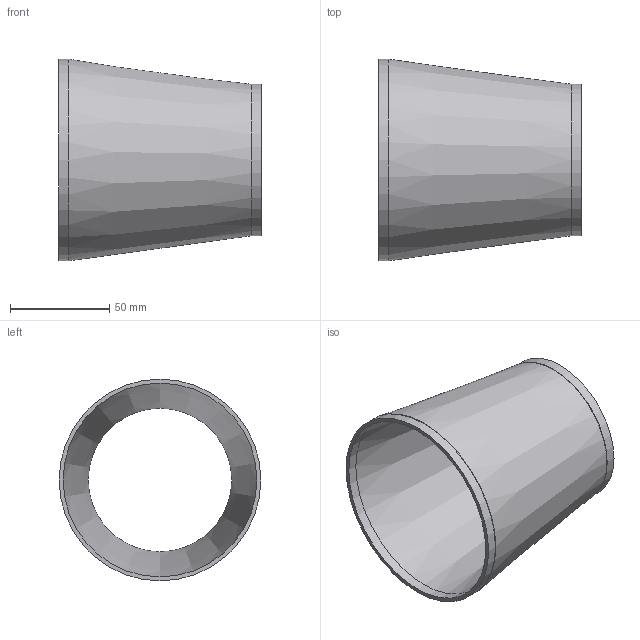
import cadquery as cq
import math

total_length = 102.0
collar_length = 5.0
large_outer_diameter = 101.6
small_outer_diameter = 76.3
wall_thickness = 2.0
blend_radius = 2.0

large_outer_radius = large_outer_diameter / 2
small_outer_radius = small_outer_diameter / 2
large_bore_radius = large_outer_radius - wall_thickness
small_bore_radius = small_outer_radius - wall_thickness

cone_start = collar_length
cone_end = total_length - collar_length
cone_angle = math.atan2(large_outer_radius - small_outer_radius, cone_end - cone_start)

blend_reach = blend_radius * math.tan(cone_angle / 2)
blend_reach_x = blend_reach * math.cos(cone_angle)
blend_reach_radial = blend_reach * math.sin(cone_angle)


def revolve_about_x(profile):
    """Close a half profile down to the X axis and turn it into a solid."""
    closed_profile = profile.lineTo(total_length, 0).close()
    return closed_profile.revolve(360, (0, 0, 0), (1, 0, 0))


def make_outer_body():
    """Outside of the reducer, with a tangent arc at each end of the cone."""
    profile = (
        cq.Workplane("XZ")
        .lineTo(0, large_outer_radius)
        .lineTo(cone_start - blend_reach, large_outer_radius)
        .tangentArcPoint(
            (cone_start + blend_reach_x, large_outer_radius - blend_reach_radial),
            relative=False,
        )
        .lineTo(cone_end - blend_reach_x, small_outer_radius + blend_reach_radial)
        .tangentArcPoint((cone_end + blend_reach, small_outer_radius), relative=False)
        .lineTo(total_length, small_outer_radius)
    )
    return revolve_about_x(profile)


def make_bore():
    """Inside of the reducer, with sharp corners at each end of the cone."""
    profile = (
        cq.Workplane("XZ")
        .lineTo(0, large_bore_radius)
        .lineTo(cone_start, large_bore_radius)
        .lineTo(cone_end, small_bore_radius)
        .lineTo(total_length, small_bore_radius)
    )
    return revolve_about_x(profile)


reducer = make_outer_body().cut(make_bore())

result = reducer.rotate((0, 0, 0), (1, 0, 0), 180)